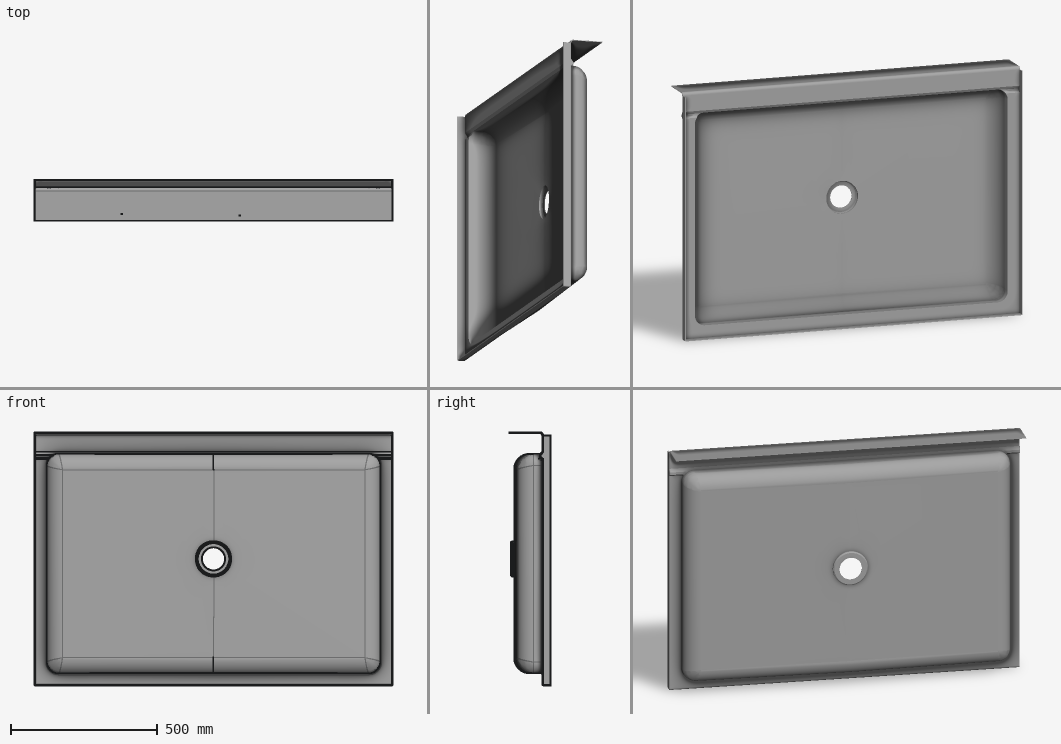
import cadquery as cq


WIDTH = 1219.2
DEPTH = 139.7
HEIGHT = 863.6
SHEET = 3.2

RIM_Y = 111.1
RIM_BACK_Y = RIM_Y + SHEET
RIM_SIDE_RADIUS = 4.0
RIM_BOTTOM_RADIUS = 7.5

THRESHOLD_BEND_RADIUS = 11.1
THRESHOLD_END_RADIUS = 3.0
WALL_TOP_Z = HEIGHT - THRESHOLD_BEND_RADIUS

BEAD_RISE = 8.0
BEAD_TOP_Z = 797.0
BEAD_CREST_TOP_Z = 786.0
BEAD_CREST_BOTTOM_Z = 777.0
BEAD_BOTTOM_Z = 771.0

RIM_WIDTH = 38.1
BASIN_ROOT_RADIUS = 4.0
BASIN_BORDER = RIM_WIDTH + BASIN_ROOT_RADIUS
BASIN_BOTTOM_Z = BASIN_BORDER
BASIN_TOP_Z = 790.0
FLOOR_SIDE_Y = 28.5
FLOOR_FOLD_Y = 15.5
BASIN_CORNER_RADIUS = 39.0
FLOOR_RADIUS = 54.0

DRAIN_Z = HEIGHT / 2
DRAIN_HOLE_DIAMETER = 78.0
DRAIN_BOSS_DIAMETER = 121.0
DRAIN_BOSS_CHAMFER = 4.0
DRAIN_BOSS_Y = 5.0


def block(width, y_start, y_end, z_start, z_end):
    """Box centred on x = 0."""
    box = cq.Workplane("XY").box(width, y_end - y_start, z_end - z_start, centered=(True, False, False))
    return box.translate((0, y_start, z_start))


def drain_disc(diameter, y_start, y_end):
    """Cylinder along Y on the drain axis."""
    disc = cq.Workplane("XZ", origin=(0, y_end, DRAIN_Z)).circle(diameter / 2)
    return disc.extrude(y_end - y_start)


def rim_outer():
    """Rim, bead and turned walls as a full block, rounded along the underside and up the bottom corners."""
    box = block(WIDTH, RIM_Y, DEPTH, 0, WALL_TOP_Z)
    box = box.edges("<Y and <Z").fillet(RIM_BOTTOM_RADIUS)
    box = box.union(bead(0, WIDTH))
    ends = box.faces("<X or >X").edges("not >Z").edges("not >Y")
    return ends.fillet(RIM_SIDE_RADIUS)


def rim_inner():
    """Space inside the turned walls, open at the top and towards +Y."""
    return block(WIDTH - 2 * SHEET, RIM_BACK_Y, DEPTH, SHEET, WALL_TOP_Z)


def basin(inset):
    """Rounded basin with a folded floor; an inset of one sheet gives its inner surface."""
    half_width = WIDTH / 2 - BASIN_BORDER - inset
    side_y = FLOOR_SIDE_Y + inset
    outline = [
        (-half_width, RIM_BACK_Y),
        (-half_width, side_y),
        (0, FLOOR_FOLD_Y + inset),
        (half_width, side_y),
        (half_width, RIM_BACK_Y),
    ]
    bottom_z = BASIN_BOTTOM_Z + inset
    profile = cq.Workplane("XY", origin=(0, 0, bottom_z)).polyline(outline).close()
    body = profile.extrude(BASIN_TOP_Z - inset - bottom_z)
    body = body.edges("|Y").fillet(BASIN_CORNER_RADIUS - inset)
    floor_border = body.edges("not |Y").edges("not >Y").edges("not (|Z and <Y)")
    return floor_border.fillet(FLOOR_RADIUS - inset)


def bead(inset, width):
    """Ridge with its flanks carried on behind the rim, shrunk all round by the inset."""
    root_depth = 2 * SHEET
    carry_on = root_depth / BEAD_RISE
    root_y = RIM_Y + root_depth
    crest_y = RIM_Y - BEAD_RISE
    outline = [
        (root_y, BEAD_TOP_Z + carry_on * (BEAD_TOP_Z - BEAD_CREST_TOP_Z)),
        (crest_y, BEAD_CREST_TOP_Z),
        (crest_y, BEAD_CREST_BOTTOM_Z),
        (root_y, BEAD_BOTTOM_Z - carry_on * (BEAD_CREST_BOTTOM_Z - BEAD_BOTTOM_Z)),
    ]
    profile = cq.Workplane("YZ").polyline(outline).close()
    if inset:
        profile = profile.offset2D(-inset, "intersection")
    return profile.extrude(width / 2, both=True)


def drain_boss(inset):
    """Chamfered round boss on the floor; an inset of one sheet gives its inner surface."""
    disc = drain_disc(DRAIN_BOSS_DIAMETER - 2 * inset, DRAIN_BOSS_Y + inset, FLOOR_SIDE_Y)
    return disc.faces("<Y").chamfer(DRAIN_BOSS_CHAMFER)


def threshold():
    """Shelf and bend, with the ends rounded over on the upper side."""
    bend_start_y = RIM_BACK_Y - THRESHOLD_BEND_RADIUS
    profile = (
        cq.Workplane("YZ")
        .moveTo(0, HEIGHT)
        .lineTo(bend_start_y, HEIGHT)
        .radiusArc((RIM_BACK_Y, WALL_TOP_Z), THRESHOLD_BEND_RADIUS)
        .lineTo(RIM_Y, WALL_TOP_Z)
        .radiusArc((bend_start_y, HEIGHT - SHEET), SHEET - THRESHOLD_BEND_RADIUS)
        .lineTo(0, HEIGHT - SHEET)
        .close()
    )
    shelf = profile.extrude(WIDTH / 2, both=True)
    return shelf.edges(">Z").edges("|Y").fillet(THRESHOLD_END_RADIUS)


def rounded_basin_root(pan):
    """Blend the basin into the rim and the bead."""
    margin = 1.0
    half_width = (WIDTH - RIM_WIDTH) / 2
    low_corner = (-half_width, RIM_Y - BEAD_RISE - margin, RIM_WIDTH / 2)
    high_corner = (half_width, RIM_Y + margin, BEAD_TOP_Z - margin)
    root = pan.edges(cq.selectors.BoxSelector(low_corner, high_corner, boundingbox=True))
    return root.fillet(BASIN_ROOT_RADIUS)


outer = rounded_basin_root(rim_outer().union(basin(0))).union(drain_boss(0))
inner = rim_inner().union(basin(SHEET)).union(bead(SHEET, WIDTH - 2 * SHEET)).union(drain_boss(SHEET))
drain_hole = drain_disc(DRAIN_HOLE_DIAMETER, 0, RIM_Y)

result = outer.cut(inner).union(threshold()).cut(drain_hole)